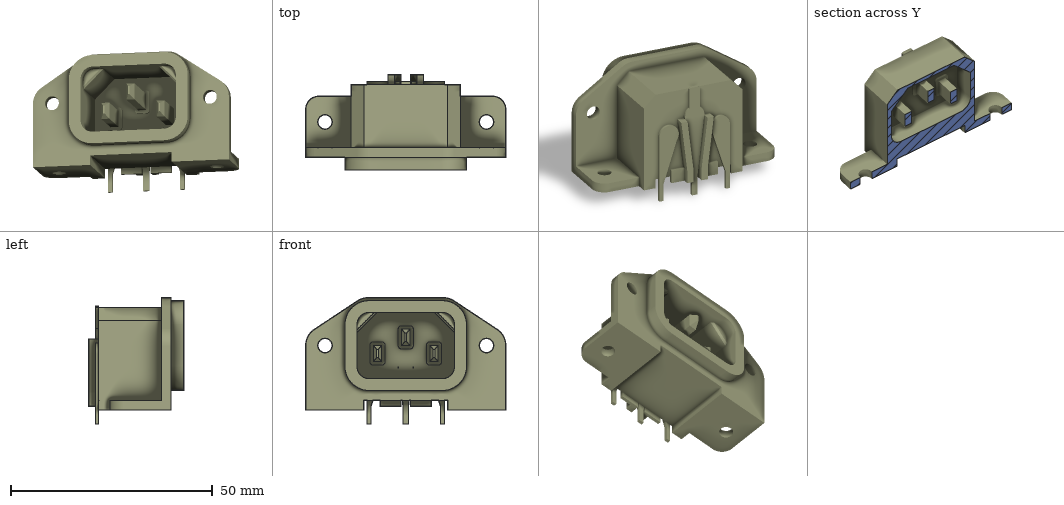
import cadquery as cq
import math


flange_width = 49.61
flange_height = 27.85
flange_thickness = 2.4
hole_diameter = 3.5
hole_x = 20.0
axis_z = 15.97
flange_radius = flange_width / 2 - hole_x
flange_top_x = 9.3
foot_thickness = 2.4
foot_length = 15.15
foot_radius = 3.3
foot_hole_y = 8.75

body_width = 27.06
body_top = 25.4
body_chamfer = 3.2
body_length = 15.6
body_back = flange_thickness + body_length
channel_width = 20.7
channel_height = 2.4

collar_width = 30.1
collar_height = 22.25
collar_radius = 5.9
collar_length = 3.15
cavity_width = 24.14
cavity_height = 16.4
cavity_radius = 3.0
cavity_floor_y = 14.0
key_leg = 4.95
key_front_leg = 4.3
key_bevel = 0.5

pin_width = 2.03
pin_height = 4.06
tip_width = 0.4
tip_height = 2.05
tip_length = 1.8
line_pin_x = 7.0
line_pin_z = 14.0
earth_pin_z = 18.0
line_tip_y = 0.7
earth_tip_y = -2.4
pad_width = 3.75
pad_height = 5.7
pad_radius = 0.8
pad_thickness = 0.5

terminal_thickness = 0.8
terminal_radius = 2.65
overall_height = 31.35
terminal_bottom = flange_height - overall_height
taper_end_z = 1.04
line_leg_width = 1.09
earth_leg_width = 1.42
earth_tab_width = 2.9
earth_tab_top = 25.75
earth_tab_chamfer = 0.3

barrier_depth = 2.45
barrier_top = 17.6
barrier_bottom = 0.9
barrier_knee_z = 4.33
barrier_inner_x = 1.13
barrier_top_inner_x = 2.75
barrier_thickness = 1.7
barrier_foot_width = 5.24


def box(x0, x1, y0, y1, z0, z1):
    return cq.Workplane("XY").box(x1 - x0, y1 - y0, z1 - z0, centered=False).translate((x0, y0, z0))


def plane_at(y, x=0, z=0):
    """XZ sketch plane at depth y; a positive extrusion runs toward the rear."""
    return cq.Workplane(cq.Plane(origin=(x, y, z), xDir=(1, 0, 0), normal=(0, -1, 0)))


def extrude_back(sketch, length):
    return sketch.extrude(-length)


def rounded_block(width, height, radius, y0, y1, x, z):
    block = extrude_back(plane_at(y0, x, z).rect(width, height), y1 - y0)
    return block.edges("|Y").fillet(radius)


def mirrored(shape):
    return shape.union(shape.mirror("YZ"))


def make_flange():
    top_center_z = flange_height - flange_radius
    slope = math.atan2(top_center_z - axis_z, hole_x - flange_top_x)
    turn = math.pi / 2 - slope

    def on_arc(center_x, center_z, angle):
        return (center_x + flange_radius * math.cos(angle), center_z + flange_radius * math.sin(angle))

    half = flange_width / 2
    outline = (
        plane_at(0)
        .moveTo(0, 0)
        .lineTo(half, 0)
        .lineTo(half, axis_z)
        .threePointArc(on_arc(hole_x, axis_z, turn / 2), on_arc(hole_x, axis_z, turn))
        .lineTo(*on_arc(flange_top_x, top_center_z, turn))
        .threePointArc(
            on_arc(flange_top_x, top_center_z, (turn + math.pi / 2) / 2),
            (flange_top_x, flange_height),
        )
        .lineTo(0, flange_height)
        .close()
    )
    flange = mirrored(extrude_back(outline, flange_thickness))
    holes = plane_at(0).pushPoints([(-hole_x, axis_z), (hole_x, axis_z)]).circle(hole_diameter / 2)
    return flange.cut(extrude_back(holes, flange_thickness))


def make_feet():
    foot = box(channel_width / 2, flange_width / 2, 0, foot_length, 0, foot_thickness)
    foot = foot.edges("|Z and >X and >Y").fillet(foot_radius)
    hole = cq.Workplane("XY").center(hole_x, foot_hole_y).circle(hole_diameter / 2).extrude(foot_thickness)
    return mirrored(foot.cut(hole))


def make_body():
    half = body_width / 2
    body = box(-half, half, 0, body_back, 0, body_top)
    return body.edges("|Y and >Z").chamfer(body_chamfer)


def make_collar():
    return rounded_block(collar_width, collar_height, collar_radius, -collar_length, 0, 0, axis_z)


def make_cavity():
    cavity = rounded_block(
        cavity_width, cavity_height, cavity_radius, -collar_length, cavity_floor_y, 0, axis_z
    )
    corner_x = cavity_width / 2
    corner_z = axis_z + cavity_height / 2

    def corner(sketch, leg):
        return sketch.polyline([(0, 0), (-leg, 0), (0, -leg)]).close()

    key = extrude_back(corner(plane_at(key_bevel, corner_x, corner_z), key_leg), cavity_floor_y - key_bevel)
    bevel_front = corner(plane_at(0, corner_x, corner_z), key_front_leg)
    bevel = corner(bevel_front.workplane(offset=-key_bevel), key_leg).loft(combine=True)
    return cavity.cut(mirrored(key.union(bevel)))


def make_pin(x, z, tip_y):
    taper_y = tip_y + tip_length
    shank = extrude_back(plane_at(taper_y, x, z).rect(pin_width, pin_height), body_back - taper_y)
    tip = (
        plane_at(tip_y, x, z)
        .rect(tip_width, tip_height)
        .workplane(offset=-tip_length)
        .rect(pin_width, pin_height)
        .loft(combine=True)
    )
    pad = rounded_block(
        pad_width, pad_height, pad_radius, cavity_floor_y - pad_thickness, cavity_floor_y, x, z
    )
    return shank.union(tip).union(pad)


def terminal_plate(points):
    return extrude_back(plane_at(body_back).polyline(points).close(), terminal_thickness)


def terminal_disc(x, z):
    return extrude_back(plane_at(body_back, x, z).circle(terminal_radius), terminal_thickness)


def make_line_terminal():
    outer_x = line_pin_x + terminal_radius
    leg_inner_x = outer_x - line_leg_width
    leg = terminal_plate([
        (outer_x, line_pin_z),
        (outer_x, terminal_bottom),
        (leg_inner_x, terminal_bottom),
        (leg_inner_x, taper_end_z),
        (line_pin_x - terminal_radius, line_pin_z),
    ])
    return leg.union(terminal_disc(line_pin_x, line_pin_z))


def make_earth_terminal():
    half_leg = earth_leg_width / 2
    leg = terminal_plate([
        (-half_leg, terminal_bottom),
        (half_leg, terminal_bottom),
        (half_leg, taper_end_z),
        (terminal_radius, earth_pin_z),
        (-terminal_radius, earth_pin_z),
        (-half_leg, taper_end_z),
    ])
    half_tab = earth_tab_width / 2
    tab = box(-half_tab, half_tab, body_back, body_back + terminal_thickness, earth_pin_z, earth_tab_top)
    tab = tab.edges("|Y and >Z").chamfer(earth_tab_chamfer)
    return leg.union(terminal_disc(0, earth_pin_z)).union(tab)


def make_barrier():
    outer_x = barrier_inner_x + barrier_thickness
    wall = plane_at(body_back).polyline([
        (barrier_inner_x, barrier_bottom),
        (outer_x, barrier_bottom),
        (outer_x, barrier_knee_z),
        (barrier_top_inner_x + barrier_thickness, barrier_top),
        (barrier_top_inner_x, barrier_top),
        (barrier_inner_x, barrier_knee_z),
    ]).close()
    foot = box(
        barrier_inner_x, barrier_inner_x + barrier_foot_width,
        body_back, body_back + terminal_thickness,
        barrier_bottom, barrier_knee_z,
    )
    return extrude_back(wall, barrier_depth).union(foot)


channel = box(-channel_width / 2, channel_width / 2, 0, body_back, 0, channel_height)

result = make_flange().union(make_feet()).union(make_body()).union(make_collar())
result = result.cut(channel).cut(make_cavity())
result = result.union(make_pin(0, earth_pin_z, earth_tip_y))
for side in (-1, 1):
    result = result.union(make_pin(side * line_pin_x, line_pin_z, line_tip_y))
result = result.union(mirrored(make_line_terminal()))
result = result.union(make_earth_terminal())
result = result.union(mirrored(make_barrier()))